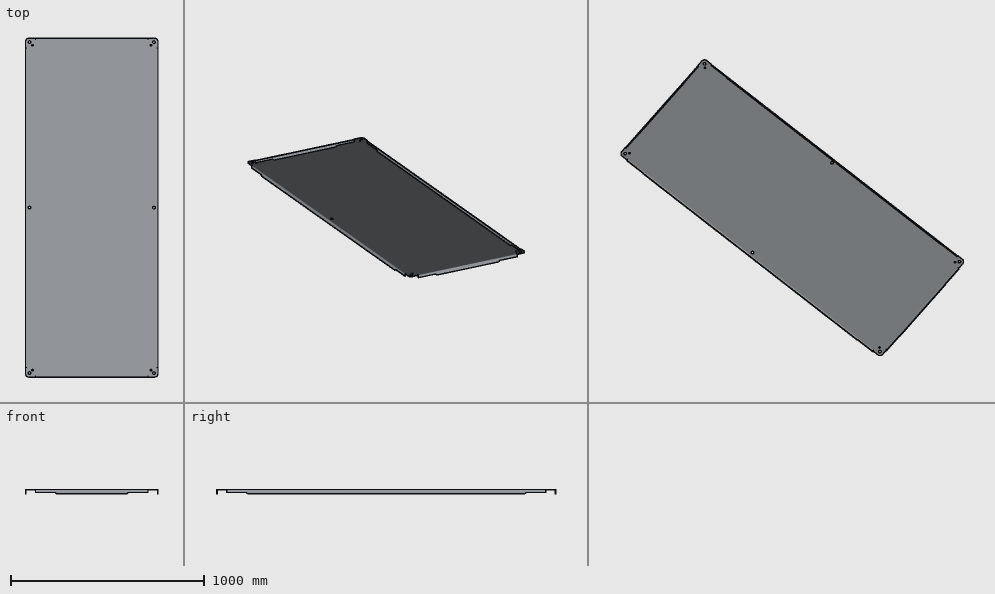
import cadquery as cq
import math

width = 685.0
length = 1751.0
height = 23.0

sheet = 3.0
bend_radius = 6.1
plate_corner_radius = 18.0

flange_end_gap = 50.0
shallow_depth = 15.0
tongue_end_gap = 152.0
tongue_taper = 9.0

mount_hole_diameter = 12.8
mount_hole_inset = 21.0
small_hole_diameter = 7.2
small_hole_inset = 37.0


def flat_plate():
    """Top sheet with rounded corners, cut back where the edges bend down."""
    plate = (
        cq.Workplane("XY", origin=(0, 0, height - sheet))
        .rect(width, length)
        .extrude(sheet)
        .edges("|Z")
        .fillet(plate_corner_radius)
    )
    long_cutback = cq.Workplane("XY").box(2 * bend_radius, length - 2 * flange_end_gap, 2 * height)
    short_cutback = cq.Workplane("XY").box(width - 2 * flange_end_gap, 2 * bend_radius, 2 * height)
    for side in (-1, 1):
        plate = plate.cut(long_cutback.translate((side * width / 2, 0, height)))
        plate = plate.cut(short_cutback.translate((0, side * length / 2, height)))
    return plate


def bent_strip(edge_length, edge_distance):
    """Full-depth bent sheet running along X, its outer face at Y = -edge_distance."""
    outer = -edge_distance
    bend_y = outer + bend_radius
    bend_z = height - bend_radius
    inner_radius = bend_radius - sheet
    outer_mid = bend_radius * math.sqrt(0.5)
    inner_mid = inner_radius * math.sqrt(0.5)
    return (
        cq.Workplane("YZ")
        .moveTo(outer, 0)
        .lineTo(outer, bend_z)
        .threePointArc((bend_y - outer_mid, bend_z + outer_mid), (bend_y, height))
        .lineTo(bend_y, height - sheet)
        .threePointArc((bend_y - inner_mid, bend_z + inner_mid), (outer + sheet, bend_z))
        .lineTo(outer + sheet, 0)
        .close()
        .extrude(edge_length / 2 - flange_end_gap, both=True)
    )


def flange(edge_length, edge_distance):
    """Bent strip trimmed to its outline: shallow ends and a tapered deeper tongue."""
    strip_end = edge_length / 2 - flange_end_gap
    tongue_start = edge_length / 2 - tongue_end_gap
    tongue_tip = tongue_start - tongue_taper
    shallow_z = height - shallow_depth
    outline = (
        cq.Workplane("XZ")
        .polyline([
            (-strip_end, height),
            (-strip_end, shallow_z),
            (-tongue_start, shallow_z),
            (-tongue_tip, 0),
            (tongue_tip, 0),
            (tongue_start, shallow_z),
            (strip_end, shallow_z),
            (strip_end, height),
        ])
        .close()
        .extrude(edge_distance)
    )
    return bent_strip(edge_length, edge_distance).intersect(outline)


def corner_points(inset):
    """One point per plate corner, the same inset from both edges."""
    x = width / 2 - inset
    y = length / 2 - inset
    return [(side_x * x, side_y * y) for side_x in (-1, 1) for side_y in (-1, 1)]


def hole_cutters(points, diameter):
    return cq.Workplane("XY").pushPoints(points).circle(diameter / 2).extrude(height)


result = flat_plate()

short_flange = flange(width, length / 2)
long_flange = flange(length, width / 2)
for turn in (0, 180):
    result = result.union(short_flange.rotate((0, 0, 0), (0, 0, 1), turn))
    result = result.union(long_flange.rotate((0, 0, 0), (0, 0, 1), turn + 90))

mount_x = width / 2 - mount_hole_inset
mount_points = corner_points(mount_hole_inset) + [(-mount_x, 0), (mount_x, 0)]
result = result.cut(hole_cutters(mount_points, mount_hole_diameter))

result = result.cut(hole_cutters(corner_points(small_hole_inset), small_hole_diameter))